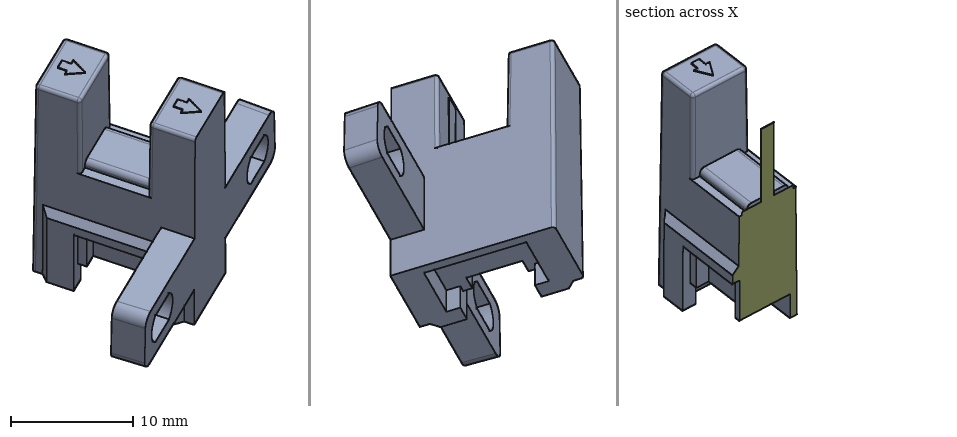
import cadquery as cq
import math

body_length = 14.55
body_base_half_width = 3.15
body_height = 22.55
draft_slope = math.tan(math.radians(0.5))

gap_center_x = 7.35
gap_floor_width = 6.02
gap_floor_z = 13.65
edge_radius = 0.31

bridge_half_width = 2.2
bridge_top_z = 14.4
bridge_radius = 0.5

panel_x = 10.35
panel_depth = 0.25
panel_width = 1.4
panel_top_z = 21.7

arrow_tail_x = (1.1, 11.47)
arrow_tail_length = 0.85
arrow_length = 2.3
arrow_tail_half_width = 0.42
arrow_head_half_width = 0.85
arrow_height = 0.1

flange_thickness = 2.98
flange_bottom_z = 4.3
flange_height = 6.2
flange_bottom_width = 26.25
flange_end_slope = math.tan(math.radians(2.0))
flange_corner_radius = 1.05
hole_spacing = 19.0
hole_diameter = 4.21
hole_flat_height = 3.22

pad_left_x = 0.97
pad_right_x = 13.67
pad_top_z = 8.43
pad_thickness = 0.65

notch_width = 6.6
notch_depth = 0.8
window_width = 4.97
window_depth = 2.1
window_top_z = 6.8
cavity_length = 9.05
cavity_half_width = 2.38
cavity_height = 2.55

pad_front_y = -(body_base_half_width + pad_thickness)
flange_back_x = body_length - flange_thickness
flange_top_z = flange_bottom_z + flange_height
flange_mid_z = flange_bottom_z + flange_height / 2


def centered_box(center_x, length, y_start, y_end, z_start, z_end):
    """Box centred on center_x that spans the given Y and Z ranges."""
    return (
        cq.Workplane("XY", origin=(center_x, (y_start + y_end) / 2, z_start))
        .box(length, y_end - y_start, z_end - z_start, centered=(True, True, False))
    )


def make_body():
    """U-shaped housing, drafted on every side but the flat right one, with rounded edges."""
    top_shift = body_height * draft_slope
    gap_top_shift = (body_height - gap_floor_z) * draft_slope
    gap_left = gap_center_x - gap_floor_width / 2
    gap_right = gap_center_x + gap_floor_width / 2
    top_half_width = body_base_half_width - top_shift

    u_shape = (
        cq.Workplane("XZ")
        .polyline([
            (0, 0),
            (body_length, 0),
            (body_length, body_height),
            (gap_right + gap_top_shift, body_height),
            (gap_right, gap_floor_z),
            (gap_left, gap_floor_z),
            (gap_left - gap_top_shift, body_height),
            (top_shift, body_height),
        ])
        .close()
        .extrude(body_base_half_width, both=True)
    )
    drafted_sides = (
        cq.Workplane("YZ")
        .polyline([
            (-body_base_half_width, 0),
            (body_base_half_width, 0),
            (top_half_width, body_height),
            (-top_half_width, body_height),
        ])
        .close()
        .extrude(body_length)
    )
    body = u_shape.intersect(drafted_sides)

    corner_edges = body.edges("not(#X or #Y or #Z)")
    top_edges = body.faces(">Z").edges("not(>X)")
    return corner_edges.add(top_edges).fillet(edge_radius)


def make_bridge():
    """Rounded ridge across the gap floor, joining both arms."""
    return (
        centered_box(
            gap_center_x, gap_floor_width,
            -bridge_half_width, bridge_half_width,
            gap_floor_z, bridge_top_z,
        )
        .edges("|X and >Z")
        .fillet(bridge_radius)
    )


def make_panel():
    """Slightly raised upright strip on the inner face of the right arm."""
    return centered_box(
        panel_x + panel_depth / 2, panel_depth,
        -panel_width / 2, panel_width / 2,
        gap_floor_z, panel_top_z,
    )


def make_arrow(tail_x):
    """Low raised arrow on an arm top, pointing to +X."""
    head_x = tail_x + arrow_tail_length
    return (
        cq.Workplane("XY", origin=(0, 0, body_height))
        .polyline([
            (tail_x, -arrow_tail_half_width),
            (head_x, -arrow_tail_half_width),
            (head_x, -arrow_head_half_width),
            (tail_x + arrow_length, 0),
            (head_x, arrow_head_half_width),
            (head_x, arrow_tail_half_width),
            (tail_x, arrow_tail_half_width),
        ])
        .close()
        .extrude(arrow_height)
    )


def make_flange():
    """Mounting flange with rounded corners, its ends drafted upwards and towards the right face."""
    bottom_half_width = flange_bottom_width / 2
    top_half_width = bottom_half_width - flange_height * flange_end_slope
    outlines = []
    for x in (flange_back_x, body_length):
        inset = (x - flange_back_x) * flange_end_slope
        corners = [
            (x, inset - bottom_half_width, flange_bottom_z),
            (x, bottom_half_width - inset, flange_bottom_z),
            (x, top_half_width - inset, flange_top_z),
            (x, inset - top_half_width, flange_top_z),
        ]
        outlines.append(cq.Wire.makePolygon([cq.Vector(*c) for c in corners], close=True))
    flange = cq.Workplane(cq.Solid.makeLoft(outlines, True))
    corner_edges = flange.edges("not(#X)")
    return corner_edges.fillet(flange_corner_radius)


def make_flange_holes():
    """Two through holes, each round with a flat above and below."""
    hole_centers = [(-hole_spacing / 2, flange_mid_z), (hole_spacing / 2, flange_mid_z)]
    plane = cq.Workplane("YZ", origin=(flange_back_x, 0, 0)).pushPoints(hole_centers)
    rounds = plane.circle(hole_diameter / 2).extrude(flange_thickness)
    flats = plane.rect(hole_diameter, hole_flat_height).extrude(flange_thickness)
    return rounds.intersect(flats)


def make_pad():
    """Front pad parallel to the drafted front face, with 45 degree bevelled borders."""
    below_base = 2 * pad_thickness
    front_plane = cq.Plane(
        origin=(0, -body_base_half_width, 0),
        xDir=(1, 0, 0),
        normal=(0, -1, draft_slope),
    )
    pad = (
        cq.Workplane(front_plane)
        .center((pad_left_x + pad_right_x) / 2, (pad_top_z - below_base) / 2)
        .rect(pad_right_x - pad_left_x, pad_top_z + below_base)
        .extrude(pad_thickness, taper=45)
    )
    base_trim = centered_box(
        gap_center_x, body_length, 2 * pad_front_y, 0, -2 * below_base, 0,
    )
    return pad.cut(base_trim)


def make_recesses():
    """Front notch, deeper window behind it, and the cavity open at the base."""
    recess_front_y = pad_front_y - pad_thickness
    notch = centered_box(
        gap_center_x, notch_width,
        recess_front_y, pad_front_y + notch_depth, 0, window_top_z,
    )
    window = centered_box(
        gap_center_x, window_width,
        recess_front_y, pad_front_y + window_depth, 0, window_top_z,
    )
    cavity_entry = centered_box(
        gap_center_x, notch_width, recess_front_y, 0, 0, cavity_height,
    )
    cavity = centered_box(
        gap_center_x, cavity_length,
        -cavity_half_width, cavity_half_width, 0, cavity_height,
    )
    return notch.union(window).union(cavity_entry).union(cavity)


result = make_body()
for add_on in (make_bridge(), make_panel(), make_pad(), make_flange()):
    result = result.union(add_on)
for tail_x in arrow_tail_x:
    result = result.union(make_arrow(tail_x))
result = result.cut(make_flange_holes()).cut(make_recesses())